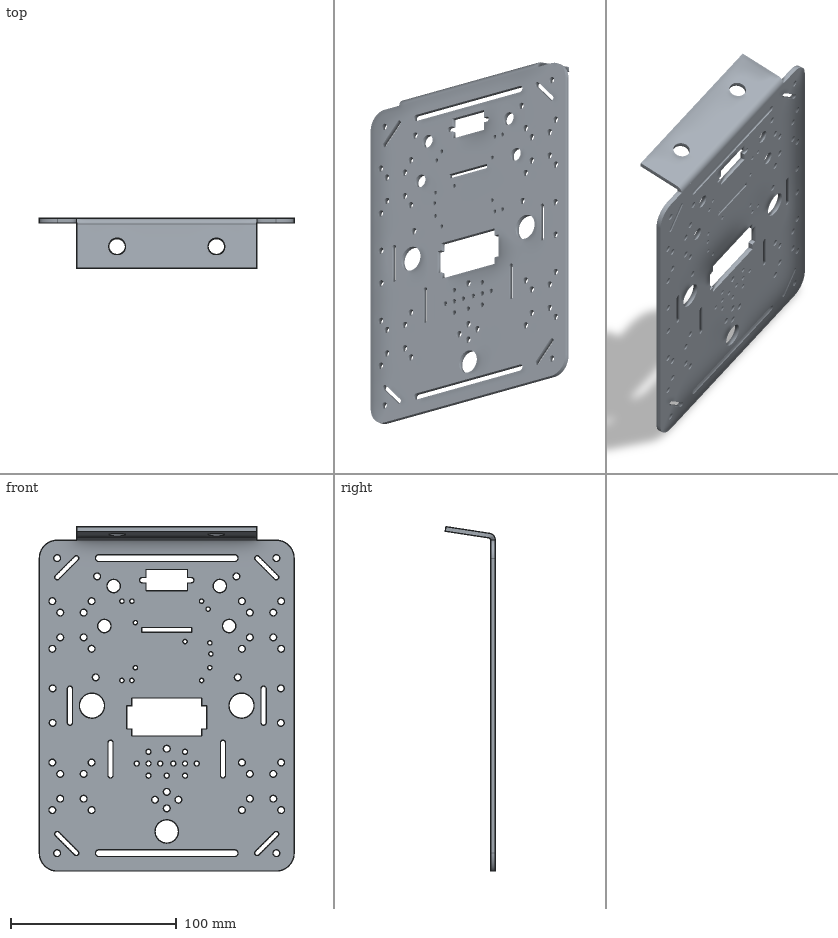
import cadquery as cq
import math


total_height = 208.0
total_depth = 30.4
plate_width = 154.0
sheet = 3.0
corner_radius = 11.0

flange_width = 108.8
flange_tilt = math.radians(8.7)
bend_inner_radius = 1.2
bend_outer_radius = bend_inner_radius + sheet
tilt_cos = math.cos(flange_tilt)
tilt_sin = math.sin(flange_tilt)
flange_length = (total_depth - bend_outer_radius + bend_inner_radius * tilt_sin) / tilt_cos
flange_rise = bend_outer_radius * tilt_cos + flange_length * tilt_sin
flange_hole_diameter = 10.0
flange_hole_x = 30.0
flange_hole_reach = 13.5

plate_height = total_height - flange_rise
plate_middle = plate_height / 2

mount_diameter = 4.0
grid_diameter = 3.0
pilot_diameter = 2.5
cable_diameter = 8.0
side_bore_diameter = 15.0
lower_bore_diameter = 14.0

corner_hole = (66.1, 89.0)
edge_hole = (68.8, 10.5)
cluster_centre = (57.2, 48.7)
cluster_offsets = [(11.9, 14.4), (7.0, 7.5)]
paired_mount_holes = [(42.0, 78.0), (42.8, 17.0), (7.0, -56.8)]
middle_mount_holes = [(0, -26.0), (0, -52.0), (0, -62.0)]
paired_grid_holes = [(11.0, -27.9), (4.0, -35.0), (11.0, -35.0), (18.0, -35.0), (11.0, -42.2)]
middle_grid_hole = (0, -42.2)
pilot_holes = [
    (-27.0, 63.0), (-21.0, 63.0), (21.0, 63.0),
    (-27.0, 15.2), (-21.0, 15.2), (21.0, 15.2),
    (-19.0, 50.1), (-19.0, 22.9),
    (25.0, 58.2), (11.0, 38.7), (26.0, 37.9), (26.6, 31.2), (26.0, 22.9),
]
cable_holes = [(32.0, 72.2), (37.6, 48.0)]
side_bore = (45.1, 0)
lower_bore = (0, -76.0)

long_slot_length = 86.0
long_slot_width = 4.0
long_slot_z = corner_hole[1]
strap_slot_width = 3.0
outer_slot_length = 23.5
outer_slot = (58.5, 0)
inner_slot_length = 22.7
inner_slot = (34.0, -32.2)
corner_slot_length = 19.1
corner_slot = (60.3, 83.2)
thin_slot_length = 30.0
thin_slot_width = 2.7
thin_slot_z = 45.8

upper_window_size = (25.0, 12.7)
upper_window_z = 75.7
upper_notch_span = 32.7
upper_notch_width = 3.1
lower_window_size = (42.2, 22.7)
lower_window_z = -6.9
lower_notch_size = (48.3, 14.0)
lower_notch_z = -7.0


def mirrored_in_x(points):
    """Each point and its mirror image on the other side of x = 0."""
    return [(side * x, z) for x, z in points for side in (-1, 1)]


def mirrored_in_x_and_z(points):
    """Each point and its mirror images in all four quarters of the plate."""
    return mirrored_in_x([(x, level * z) for x, z in points for level in (-1, 1)])


def plate_plane():
    """Workplane on the back face, centred on the plate, extruding toward the front (-Y)."""
    return cq.Workplane("XZ", origin=(0, 0, plate_middle))


def round_cutters(points, diameter):
    return plate_plane().pushPoints(points).circle(diameter / 2).extrude(sheet)


def slot_cutters(points, length, width, angle=0):
    return plate_plane().pushPoints(points).slot2D(length, width, angle).extrude(sheet)


def window_cutter(z, size):
    return plate_plane().center(0, z).rect(*size).extrude(sheet)


def cut_round_holes(plate):
    clusters = [
        (cluster_centre[0] + side * dx, cluster_centre[1] + level * dz)
        for dx, dz in cluster_offsets
        for side in (-1, 1)
        for level in (-1, 1)
    ]
    mount_holes = (
        mirrored_in_x_and_z([corner_hole, edge_hole] + clusters)
        + mirrored_in_x(paired_mount_holes)
        + middle_mount_holes
    )
    grid_holes = mirrored_in_x(paired_grid_holes) + [middle_grid_hole]
    plate = plate.cut(round_cutters(mount_holes, mount_diameter))
    plate = plate.cut(round_cutters(grid_holes, grid_diameter))
    plate = plate.cut(round_cutters(pilot_holes, pilot_diameter))
    plate = plate.cut(round_cutters(mirrored_in_x(cable_holes), cable_diameter))
    plate = plate.cut(round_cutters(mirrored_in_x([side_bore]), side_bore_diameter))
    return plate.cut(round_cutters([lower_bore], lower_bore_diameter))


def cut_slots(plate):
    long_slots = [(0, long_slot_z), (0, -long_slot_z)]
    plate = plate.cut(slot_cutters(long_slots, long_slot_length, long_slot_width))
    plate = plate.cut(slot_cutters(mirrored_in_x([outer_slot]), outer_slot_length, strap_slot_width, 90))
    plate = plate.cut(slot_cutters(mirrored_in_x([inner_slot]), inner_slot_length, strap_slot_width, 90))
    x, z = corner_slot
    plate = plate.cut(slot_cutters([(-x, z), (x, -z)], corner_slot_length, strap_slot_width, 45))
    plate = plate.cut(slot_cutters([(x, z), (-x, -z)], corner_slot_length, strap_slot_width, -45))
    return plate.cut(window_cutter(thin_slot_z, (thin_slot_length, thin_slot_width)))


def cut_windows(plate):
    plate = plate.cut(window_cutter(upper_window_z, upper_window_size))
    plate = plate.cut(slot_cutters([(0, upper_window_z)], upper_notch_span, upper_notch_width))
    plate = plate.cut(window_cutter(lower_window_z, lower_window_size))
    return plate.cut(window_cutter(lower_notch_z, lower_notch_size))


def make_plate():
    blank = plate_plane().rect(plate_width, plate_height).extrude(sheet)
    plate = blank.edges("|Y").fillet(corner_radius)
    plate = cut_round_holes(plate)
    plate = cut_slots(plate)
    return cut_windows(plate)


def make_flange():
    """Bent strip standing on the upper edge of the plate and reaching forward (-Y)."""
    bend_y = -bend_outer_radius
    bend_end = math.pi / 2 - flange_tilt
    bend_halfway = bend_end / 2

    def on_bend(radius, angle):
        return (bend_y + radius * math.cos(angle), plate_height + radius * math.sin(angle))

    def along_flange(point, distance):
        return (point[0] - distance * tilt_cos, point[1] + distance * tilt_sin)

    outer_bend_end = on_bend(bend_outer_radius, bend_end)
    inner_bend_end = on_bend(bend_inner_radius, bend_end)
    strip = (
        cq.Workplane("YZ", origin=(-flange_width / 2, 0, 0))
        .moveTo(*on_bend(bend_outer_radius, 0))
        .threePointArc(on_bend(bend_outer_radius, bend_halfway), outer_bend_end)
        .lineTo(*along_flange(outer_bend_end, flange_length))
        .lineTo(*along_flange(inner_bend_end, flange_length))
        .lineTo(*inner_bend_end)
        .threePointArc(on_bend(bend_inner_radius, bend_halfway), on_bend(bend_inner_radius, 0))
        .close()
        .extrude(flange_width)
    )
    hole_y, hole_z = along_flange(outer_bend_end, flange_hole_reach)
    flange_face = cq.Plane(origin=(0, hole_y, hole_z), xDir=(1, 0, 0), normal=(0, tilt_sin, tilt_cos))
    holes = (
        cq.Workplane(flange_face)
        .pushPoints([(-flange_hole_x, 0), (flange_hole_x, 0)])
        .circle(flange_hole_diameter / 2)
        .extrude(-sheet)
    )
    return strip.cut(holes)


plate = make_plate()
flange = make_flange()

result = cq.Compound.makeCompound([plate.val(), flange.val()])